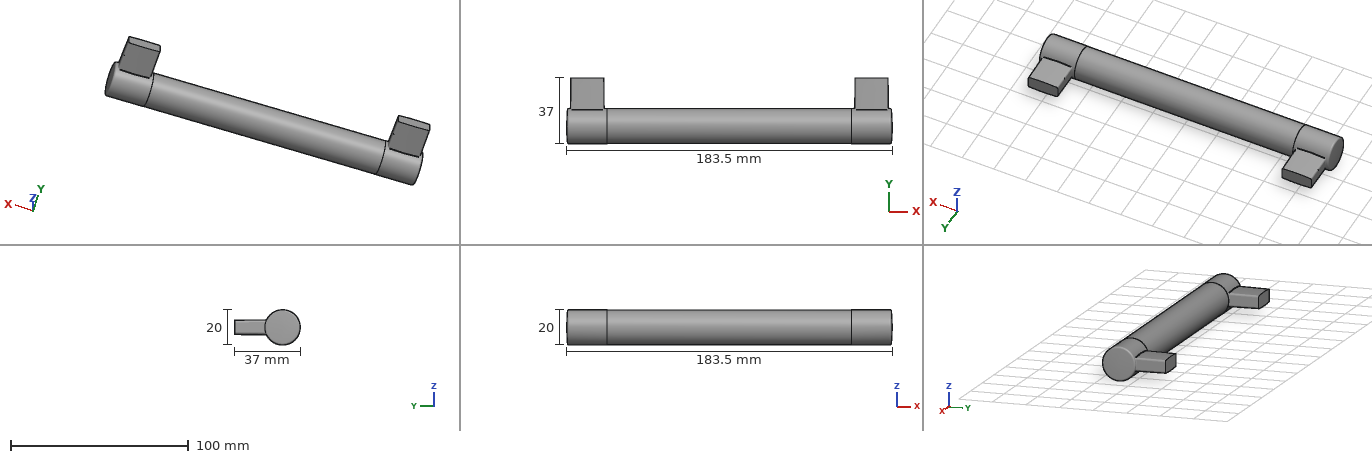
import cadquery as cq

LENGTH = 183.5
BAR_DIAMETER = 19.8
CAP_DIAMETER = 20.0
CAP_LENGTH = 23.0
CAP_DOME_HEIGHT = 0.5
CAP_EDGE_ROUND = 1.01

DEPTH = 37.0
POST_SPACING = 160.0
POST_WIDTH = 19.3
POST_HEIGHT = 8.8
POST_CROWN = 0.45
POST_DRAFT = 0.6
POST_EDGE_ROUND = 1.1
POST_ROOT_FILLET = 0.4

CAP_RADIUS = CAP_DIAMETER / 2
BAR_LENGTH = LENGTH - 2 * CAP_LENGTH
POST_REACH = DEPTH - CAP_RADIUS
POST_OFFSET = (POST_SPACING - BAR_LENGTH) / 2


def make_bar():
    """Plain round bar that butts against both caps."""
    return cq.Workplane("YZ", origin=(-BAR_LENGTH / 2, 0, 0)).circle(BAR_DIAMETER / 2).extrude(BAR_LENGTH)


def cap_body():
    """Round cap along +X from its inner face at X = 0, with a domed, rounded outer end."""
    rim = CAP_LENGTH - CAP_DOME_HEIGHT
    dome_radius = (CAP_RADIUS**2 + CAP_DOME_HEIGHT**2) / (2 * CAP_DOME_HEIGHT)
    body = (
        cq.Workplane("XY")
        .lineTo(0, -CAP_RADIUS)
        .lineTo(rim, -CAP_RADIUS)
        .radiusArc((CAP_LENGTH, 0), -dome_radius)
        .close()
        .revolve(360, (0, 0, 0), (1, 0, 0))
    )
    rim_edge = cq.selectors.NearestToPointSelector((rim, 0, 0))
    return body.edges(rim_edge).fillet(CAP_EDGE_ROUND)


def post_body():
    """Post along +Y with crowned top and bottom, narrowing towards its free end."""
    half_width = POST_WIDTH / 2
    half_height = POST_HEIGHT / 2
    side_height = half_height - POST_CROWN
    tapered = (
        cq.Workplane("XZ", origin=(POST_OFFSET, 0, 0))
        .moveTo(-half_width, -side_height)
        .threePointArc((0, -half_height), (half_width, -side_height))
        .lineTo(half_width, side_height)
        .threePointArc((0, half_height), (-half_width, side_height))
        .close()
        .extrude(-POST_REACH, taper=POST_DRAFT)
    )
    return tapered.edges("%BSPLINE").fillet(POST_EDGE_ROUND)


def make_end_cap(at_right_end):
    """Cap in one piece with its post; the cap of the -X end is the mirror image of the +X one."""
    end_cap = cap_body().union(post_body())
    root_zone = cq.selectors.BoxSelector(
        (POST_OFFSET - POST_WIDTH, CAP_RADIUS / 2, -POST_HEIGHT),
        (POST_OFFSET + POST_WIDTH, CAP_RADIUS + POST_ROOT_FILLET, POST_HEIGHT),
    )
    end_cap = end_cap.edges(root_zone).fillet(POST_ROOT_FILLET)
    end_cap = end_cap.translate((BAR_LENGTH / 2, 0, 0))
    if not at_right_end:
        end_cap = end_cap.mirror("YZ")
    return end_cap.solids()


bar = make_bar()
end_caps = [make_end_cap(at_right_end) for at_right_end in (False, True)]

result = cq.Compound.makeCompound([bar.val(), *[end_cap.val() for end_cap in end_caps]])